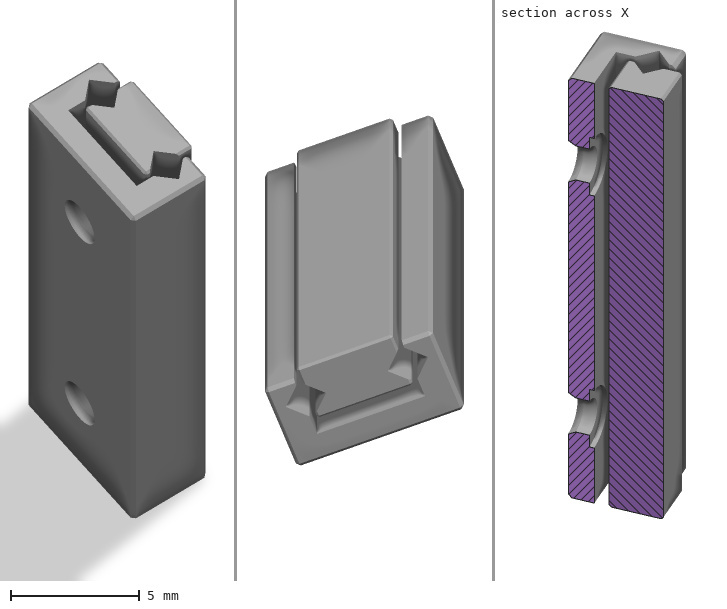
import cadquery as cq
import math

length = 20.0
total_height = 4.0

housing_width = 7.0
housing_height = 3.6
channel_width = 4.5
channel_floor = 1.1
housing_chamfer = 0.15

rail_width = 4.0
rail_bottom = 1.7
rail_chamfer = 0.1

race_height = 2.62
race_depth = 0.71

hole_diameter = 1.6
countersink_diameter = 1.97
countersink_angle = 60.0
counterbore_diameter = 2.72
counterbore_floor = 0.9
hole_spacing = 12.0


def block(width, bottom, top, edge_chamfer):
    """Full-length block centred on X and Z, with all its edges chamfered."""
    return (
        cq.Workplane("XY")
        .box(width, top - bottom, length)
        .translate((0, (bottom + top) / 2, 0))
        .edges()
        .chamfer(edge_chamfer)
    )


def race_cutter(side, x_mouth, x_apex):
    """Full-length triangular prism with a 90 degree apex, on the side of the part given by the sign of X."""
    half_opening = abs(x_apex - x_mouth)
    return (
        cq.Workplane("XY")
        .polyline([
            (side * x_mouth, race_height - half_opening),
            (side * x_apex, race_height),
            (side * x_mouth, race_height + half_opening),
        ])
        .close()
        .extrude(length / 2, both=True)
    )


def mounting_hole_cutter(z):
    """Stepped round cutter along Y, revolved from its half section."""
    hole_radius = hole_diameter / 2
    countersink_radius = countersink_diameter / 2
    counterbore_radius = counterbore_diameter / 2
    half_angle = math.radians(countersink_angle / 2)
    countersink_depth = (countersink_radius - hole_radius) / math.tan(half_angle)
    return (
        cq.Workplane("XY")
        .polyline([
            (0, 0),
            (countersink_radius, 0),
            (hole_radius, countersink_depth),
            (hole_radius, counterbore_floor),
            (counterbore_radius, counterbore_floor),
            (counterbore_radius, channel_floor),
            (0, channel_floor),
        ])
        .close()
        .revolve(360, (0, 0, 0), (0, 1, 0))
        .translate((0, 0, z))
    )


def make_housing():
    channel_depth = housing_height - channel_floor
    channel = (
        cq.Workplane("XY")
        .box(channel_width, channel_depth, length)
        .translate((0, channel_floor + channel_depth / 2, 0))
    )
    body = block(housing_width, 0, housing_height, housing_chamfer).cut(channel)
    half_channel = channel_width / 2
    for side in (-1, 1):
        body = body.cut(race_cutter(side, half_channel, half_channel + race_depth))

    for z in (-hole_spacing / 2, hole_spacing / 2):
        body = body.cut(mounting_hole_cutter(z))
    return body


def make_rail():
    body = block(rail_width, rail_bottom, total_height, rail_chamfer)
    half_rail = rail_width / 2
    for side in (-1, 1):
        body = body.cut(race_cutter(side, half_rail, half_rail - race_depth))
    return body


housing = make_housing()
rail = make_rail()
result = cq.Compound.makeCompound([housing.val(), rail.val()])